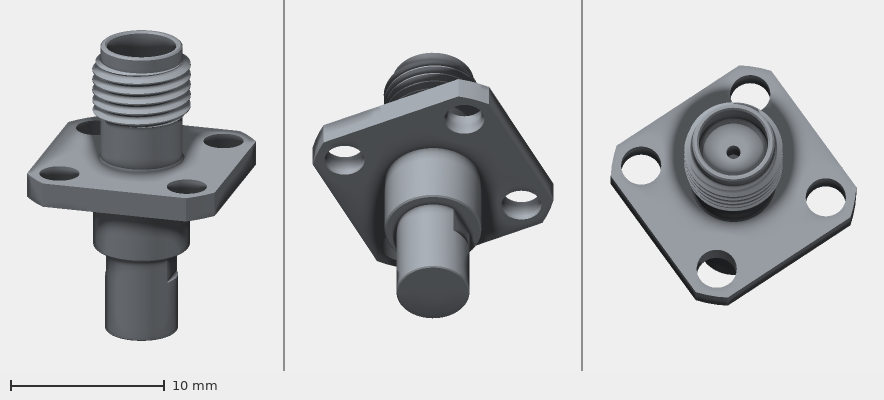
import cadquery as cq
import math

stem_radius = 2.37
stem_edge_chamfer = 0.08
stem_flat_distance = 2.05
stem_flat_bottom_z = 3.82
barrel_radius = 3.15
barrel_bottom_z = 5.82
barrel_edge_chamfer = 0.1

flange_side = 12.7
flange_corner_radius = 8.0
flange_bottom_z = 10.3
flange_thickness = 1.62
flange_top_z = flange_bottom_z + flange_thickness
mount_hole_radius = 1.3
mount_hole_spacing = 8.63

total_height = 19.79
neck_radius = 2.67
neck_foot_flare = 0.12
neck_foot_height = 0.15
neck_rim_chamfer = 0.12
thread_bottom_z = 14.98
thread_top_z = 18.78
thread_crest_radius = 3.2
thread_root_radius = 2.63
five_turn_rise = 3.52
thread_pitch = five_turn_rise / 5
thread_crest_z = 18.37
thread_crest_width = 0.087
thread_root_gap = 0.008
thread_end_slope = math.tan(math.radians(30))

bore_radius = 2.25
bore_floor_radius = 1.98
bore_floor_z = 17.77
bore_cone_height = 0.24
bore_mouth_chamfer = 0.12

contact_radius = 0.63
contact_hole_radius = 0.45
contact_hole_depth = 1.78
contact_bottom_z = flange_bottom_z
plug_radius = 0.65
plug_z = 13.58


def make_turned_shell():
    """Stem, barrel and plain neck, bored at the top."""
    outline = [
        (0, 0),
        (stem_radius - stem_edge_chamfer, 0),
        (stem_radius, stem_edge_chamfer),
        (stem_radius, barrel_bottom_z),
        (barrel_radius - barrel_edge_chamfer, barrel_bottom_z),
        (barrel_radius, barrel_bottom_z + barrel_edge_chamfer),
        (barrel_radius, flange_top_z),
        (neck_radius + neck_foot_flare, flange_top_z),
        (neck_radius, flange_top_z + neck_foot_height),
        (neck_radius, total_height - neck_rim_chamfer),
        (neck_radius - neck_rim_chamfer, total_height),
        (bore_radius + bore_mouth_chamfer, total_height),
        (bore_radius, total_height - bore_mouth_chamfer),
        (bore_radius, bore_floor_z + bore_cone_height),
        (bore_floor_radius, bore_floor_z),
        (0, bore_floor_z),
    ]
    return cq.Workplane("XZ").polyline(outline).close().revolve(360, (0, 0), (0, 1))


def make_thread_ridge():
    """Right-handed ridge that runs at least one turn past both ends of the thread."""
    turns_below = math.ceil((thread_crest_z - thread_bottom_z) / thread_pitch) + 1
    turns_above = math.ceil((thread_top_z - thread_crest_z) / thread_pitch) + 1
    start_z = thread_crest_z - turns_below * thread_pitch
    height = (turns_below + turns_above) * thread_pitch
    root_half_width = (thread_pitch - thread_root_gap) / 2
    crest_half_width = thread_crest_width / 2
    path = cq.Wire.makeHelix(thread_pitch, height, thread_root_radius, cq.Vector(0, 0, start_z))
    section = [
        (thread_root_radius, start_z - root_half_width),
        (thread_root_radius, start_z + root_half_width),
        (thread_crest_radius, start_z + crest_half_width),
        (thread_crest_radius, start_z - crest_half_width),
    ]
    return cq.Workplane("XZ").polyline(section).close().sweep(cq.Workplane(path), isFrenet=True)


def make_thread():
    """Ridge trimmed to the thread length, with a conical lead at each end."""
    inner_radius = bore_radius
    outer_radius = 2 * thread_crest_radius - neck_radius
    lead_height = (outer_radius - neck_radius) * thread_end_slope
    envelope_outline = [
        (inner_radius, thread_bottom_z),
        (neck_radius, thread_bottom_z),
        (outer_radius, thread_bottom_z + lead_height),
        (outer_radius, thread_top_z - lead_height),
        (neck_radius, thread_top_z),
        (inner_radius, thread_top_z),
    ]
    envelope = cq.Workplane("XZ").polyline(envelope_outline).close().revolve(360, (0, 0), (0, 1))
    return envelope.intersect(make_thread_ridge())


def make_flange():
    """Square plate with arc corners and four mounting holes."""
    base = cq.Workplane("XY").workplane(offset=flange_bottom_z)
    plate = base.rect(flange_side, flange_side).extrude(flange_thickness)
    corner_disc = base.circle(flange_corner_radius).extrude(flange_thickness)
    holes = (
        base.rect(mount_hole_spacing, mount_hole_spacing, forConstruction=True)
        .vertices()
        .circle(mount_hole_radius)
        .extrude(flange_thickness)
    )
    return plate.intersect(corner_disc).cut(holes)


def make_flat_cutters():
    """Two blocks that mill the wrench flats on the -X and +X sides of the stem."""
    depth = stem_radius - stem_flat_distance
    height = barrel_bottom_z - stem_flat_bottom_z
    middle = (stem_radius + stem_flat_distance) / 2
    return (
        cq.Workplane("XY", origin=(0, 0, stem_flat_bottom_z))
        .pushPoints([(-middle, 0), (middle, 0)])
        .rect(depth, 2 * stem_radius)
        .extrude(height)
    )


def make_contact_blank():
    """Contact rod joined to the side plug, whose face follows the neck surface on the -Y side."""
    rod = (
        cq.Workplane("XY", origin=(0, 0, contact_bottom_z))
        .circle(contact_radius)
        .extrude(bore_floor_z - contact_bottom_z)
    )
    neck = (
        cq.Workplane("XY", origin=(0, 0, flange_top_z))
        .circle(neck_radius)
        .extrude(total_height - flange_top_z)
    )
    plug = (
        cq.Workplane("XZ", origin=(0, 0, plug_z))
        .circle(plug_radius)
        .extrude(neck_radius)
        .intersect(neck)
    )
    return rod.union(plug)


def make_contact():
    """Contact with a blind hole in its top end."""
    hole = (
        cq.Workplane("XY", origin=(0, 0, bore_floor_z))
        .circle(contact_hole_radius)
        .extrude(-contact_hole_depth)
    )
    return make_contact_blank().cut(hole)


def make_housing():
    """Turned shell with flange, flats and thread, hollowed to fit the contact."""
    return (
        make_turned_shell()
        .union(make_thread())
        .union(make_flange())
        .cut(make_flat_cutters())
        .cut(make_contact_blank())
    )


housing = make_housing()
contact = make_contact()

result = cq.Compound.makeCompound([housing.solids().val(), contact.solids().val()])